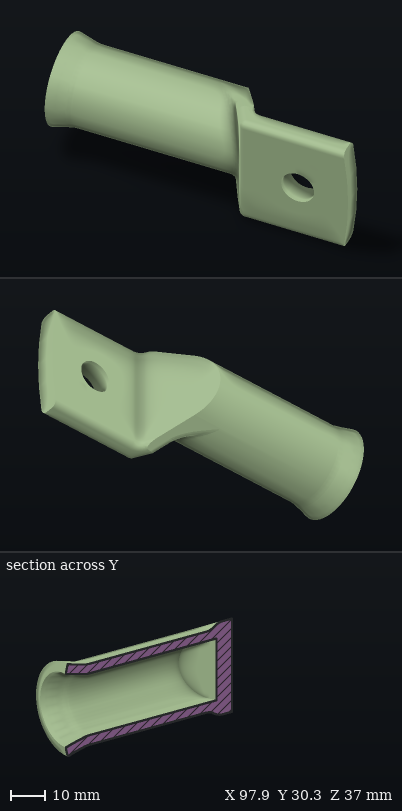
import cadquery as cq
import math

barrel_radius = 12.7
bore_radius = 9.6

flare_radius = 14.5
flare_mouth_radius = 11.4
flare_lip_setback = 0.8
flare_bend_start = 6.7
flare_bend_end = 8.7
flare_bend_rise = 0.26

length = 97.85
palm_width = 37.0
palm_bottom = -15.8
palm_thickness = 6.6
palm_top = palm_bottom + palm_thickness
palm_end_sag = 1.6
palm_edge_radius = 2.1
hole_diameter = 10.5
hole_x = 81.8

neck_angle = math.radians(60)
neck_top_x = 52.8
neck_bottom_x = 63.5
inner_bend_radius = 2.9
flank_angle = math.radians(27)
barrel_fillet_radius = 2.9
neck_start = 47.5

half_width = palm_width / 2
strip_reach = palm_width / 2 + inner_bend_radius
flank_y = barrel_radius * math.sin(flank_angle)
flank_z = barrel_radius * math.cos(flank_angle)
shoulder_y = flank_y - (half_width - flank_z) / math.tan(flank_angle)


def slope_x(start_x, start_y, y):
    """X at height y on the neck slope through a given point."""
    return start_x + (start_y - y) / math.tan(neck_angle)


def make_flared_end():
    """Solid flared end of the barrel."""
    outline = (
        cq.Workplane("XY")
        .lineTo(0, flare_mouth_radius)
        .lineTo(flare_lip_setback, flare_radius)
        .lineTo(flare_bend_start, barrel_radius + flare_bend_rise)
        .tangentArcPoint((flare_bend_end, barrel_radius), relative=False)
        .lineTo(flare_bend_end, 0)
        .close()
    )
    return outline.revolve(360, (0, 0, 0), (1, 0, 0))


def make_bore():
    """Blind bore, flared at its mouth and ending on the lower neck slope."""
    outline = (
        cq.Workplane("XY")
        .lineTo(0, flare_mouth_radius)
        .lineTo(flare_bend_start, bore_radius + flare_bend_rise)
        .tangentArcPoint((flare_bend_end, bore_radius), relative=False)
        .lineTo(length, bore_radius)
        .lineTo(length, 0)
        .close()
    )
    return outline.revolve(360, (0, 0, 0), (1, 0, 0)).cut(make_strip())


def make_strip():
    """Over-wide bent strip: sloping neck, flat palm and the bend between them."""
    upper_bend_x = slope_x(neck_top_x, barrel_radius, palm_top)
    strip = (
        cq.Workplane("XY")
        .moveTo(length, palm_bottom)
        .lineTo(neck_bottom_x, palm_bottom)
        .lineTo(slope_x(neck_bottom_x, palm_bottom, strip_reach), strip_reach)
        .lineTo(slope_x(neck_top_x, barrel_radius, strip_reach), strip_reach)
        .lineTo(upper_bend_x, palm_top)
        .lineTo(length, palm_top)
        .close()
        .extrude(strip_reach, both=True)
    )
    bend = cq.selectors.NearestToPointSelector((upper_bend_x, palm_top, 0))
    return strip.edges(bend).fillet(inner_bend_radius)


def make_barrel_stub():
    """Plain barrel ending inside the sloping neck."""
    reach = 2 * strip_reach
    below_neck = (
        cq.Workplane("XY")
        .moveTo(0, -reach)
        .lineTo(0, reach)
        .lineTo(slope_x(neck_top_x, barrel_radius, reach), reach)
        .lineTo(slope_x(neck_top_x, barrel_radius, -reach), -reach)
        .close()
        .extrude(reach, both=True)
    )
    cylinder = cq.Workplane("YZ", origin=(flare_bend_end, 0, 0)).circle(barrel_radius).extrude(length)
    return cylinder.intersect(below_neck)


def make_end_profile():
    """Arch seen along X: barrel arc, tangent flanks and the palm sides."""
    return (
        cq.Workplane("YZ", origin=(neck_start, 0, 0))
        .moveTo(palm_bottom, -half_width)
        .lineTo(shoulder_y, -half_width)
        .lineTo(flank_y, -flank_z)
        .threePointArc((barrel_radius, 0), (flank_y, flank_z))
        .lineTo(shoulder_y, half_width)
        .lineTo(palm_bottom, half_width)
        .close()
        .extrude(length - neck_start)
    )


def make_plan():
    """Palm outline with its bowed end."""
    return (
        cq.Workplane("XZ", origin=(0, strip_reach, 0))
        .moveTo(0, -half_width)
        .lineTo(length - palm_end_sag, -half_width)
        .threePointArc((length, 0), (length - palm_end_sag, half_width))
        .lineTo(0, half_width)
        .close()
        .extrude(2 * strip_reach)
    )


def make_rough_tongue():
    """Neck and palm with a filleted barrel root, cut to the outer outline."""
    root_x = slope_x(neck_bottom_x, palm_bottom, 0)
    root = cq.selectors.NearestToPointSelector((root_x, 0, 0))
    joined = make_barrel_stub().union(make_strip()).edges(root).fillet(barrel_fillet_radius)
    return joined.intersect(make_end_profile()).intersect(make_plan())


def round_tongue_edges(body):
    """Round both long palm edges, the neck edges and the outer bend."""
    palm_middle_x = (neck_bottom_x + length) / 2
    neck_middle_y = (palm_bottom + shoulder_y) / 2
    flank_middle_y = (shoulder_y + flank_y) / 2
    neck_middle_x = slope_x(neck_bottom_x, palm_bottom, neck_middle_y)
    flank_middle_x = slope_x(neck_bottom_x, palm_bottom, flank_middle_y)
    flank_middle_z = (half_width + flank_z) / 2
    edge_points = [(neck_bottom_x, palm_bottom, 0)]
    for side in (-1, 1):
        edge_points += [
            (palm_middle_x, palm_bottom, side * half_width),
            (palm_middle_x, palm_top, side * half_width),
            (neck_middle_x, neck_middle_y, side * half_width),
            (flank_middle_x, flank_middle_y, side * flank_middle_z),
        ]
    edges = []
    for point in edge_points:
        edges.extend(body.edges(cq.selectors.NearestToPointSelector(point)).vals())
    return body.newObject(edges).fillet(palm_edge_radius)


def make_palm_hole():
    """Round bolt hole through the palm."""
    return (
        cq.Workplane("XZ", origin=(hole_x, palm_top, 0))
        .circle(hole_diameter / 2)
        .extrude(palm_thickness)
    )


tongue = round_tongue_edges(make_rough_tongue())
solid_lug = tongue.union(make_barrel_stub()).union(make_flared_end())
result = solid_lug.cut(make_bore()).cut(make_palm_hole())